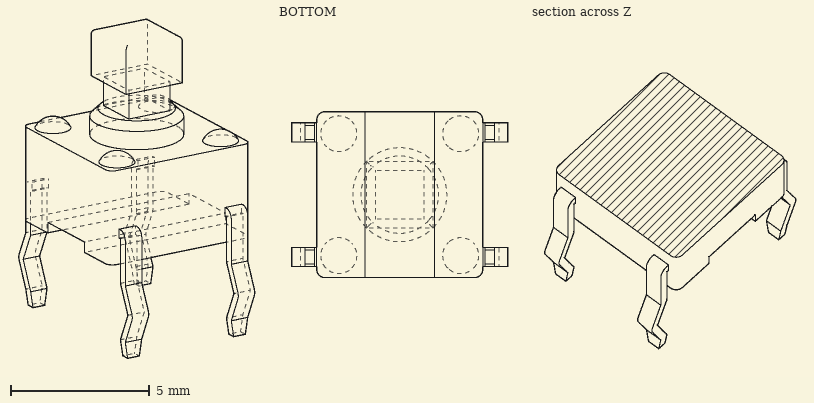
import cadquery as cq
import math


body_side = 6.0
body_height = 3.6
body_corner_radius = 0.3
notch_width = 2.5
notch_depth = 0.4

dome_offset = 2.2
dome_radius = 0.65
dome_height = 0.4

collar_radius = 1.7
collar_height = 1.0
collar_chamfer = 0.3

stem_side = 1.75
stem_height = 1.1
cap_side = 2.4
cap_height = 1.8
cap_edge_radius = 0.2

leg_span = 7.8
leg_width = 0.7
leg_tip_width = 0.5
leg_thickness = 0.34
kink_radius = 0.31
leg_pitch = 4.5
leg_outer_x = 3.42
leg_shoulder_z = 1.0
leg_upper_bend_z = -0.71
leg_kink_z = -1.78
leg_tip_start_z = -2.87
leg_bottom_z = -3.5

collar_top_z = body_height + collar_height
cap_bottom_z = collar_top_z + stem_height
leg_inner_x = leg_outer_x - leg_thickness
kink_outer_x = leg_span / 2
kink_inner_x = kink_outer_x - kink_radius


def square_block(side, bottom_z, height):
    """Square prism centred on the Z axis."""
    return cq.Workplane("XY").workplane(offset=bottom_z).rect(side, side).extrude(height)


def make_body():
    """Housing with rounded vertical edges and a shallow channel along Y underneath."""
    body = square_block(body_side, 0, body_height).edges("|Z").fillet(body_corner_radius)
    channel = cq.Workplane("XY").rect(notch_width, body_side).extrude(notch_depth)
    return body.cut(channel)


def make_dome(x, y):
    """Spherical cap standing on the top face of the housing."""
    sphere_radius = (dome_radius**2 + dome_height**2) / (2 * dome_height)
    sphere_z = body_height + dome_height - sphere_radius
    sphere = cq.Workplane("XY").sphere(sphere_radius).translate((x, y, sphere_z))
    above_top = square_block(body_side, body_height, collar_height)
    return sphere.intersect(above_top)


def make_collar():
    """Round collar with a chamfered top rim."""
    collar = cq.Workplane("XY").workplane(offset=body_height).circle(collar_radius).extrude(collar_height)
    return collar.faces(">Z").chamfer(collar_chamfer)


def make_plunger():
    """Square stem carrying a wider cap with rounded top edges."""
    stem = square_block(stem_side, collar_top_z, stem_height)
    cap = square_block(cap_side, cap_bottom_z, cap_height).faces(">Z").edges().fillet(cap_edge_radius)
    return stem.union(cap)


def kink_tangent_point(bend_z):
    """Where the outer face coming from the bend at bend_z touches the rounded kink."""
    dx = leg_outer_x - kink_inner_x
    dz = bend_z - leg_kink_z
    turn = math.acos(kink_radius / math.hypot(dx, dz))
    angle = math.atan2(dz, dx) - math.copysign(turn, dz)
    return (
        kink_inner_x + kink_radius * math.cos(angle),
        leg_kink_z + kink_radius * math.sin(angle),
    )


def make_leg():
    """Leg on the +X side, centred on Y = 0."""
    wall_x = body_side / 2
    shoulder_top_z = leg_shoulder_z + leg_thickness
    shoulder_mid = leg_thickness * math.sqrt(0.5)

    profile = (
        cq.Workplane("XZ")
        .moveTo(wall_x, leg_shoulder_z)
        .lineTo(wall_x, shoulder_top_z)
        .lineTo(leg_inner_x, shoulder_top_z)
        .threePointArc(
            (leg_inner_x + shoulder_mid, leg_shoulder_z + shoulder_mid),
            (leg_outer_x, leg_shoulder_z),
        )
        .lineTo(leg_outer_x, leg_upper_bend_z)
        .lineTo(*kink_tangent_point(leg_upper_bend_z))
        .threePointArc((kink_outer_x, leg_kink_z), kink_tangent_point(leg_tip_start_z))
        .lineTo(leg_outer_x, leg_tip_start_z)
        .lineTo(leg_outer_x, leg_bottom_z)
        .lineTo(leg_inner_x, leg_bottom_z)
        .lineTo(leg_inner_x, leg_tip_start_z)
        .lineTo(kink_inner_x, leg_kink_z)
        .lineTo(leg_inner_x, leg_upper_bend_z)
        .lineTo(leg_inner_x, leg_shoulder_z)
        .close()
    )
    strip = profile.extrude(leg_width / 2, both=True)

    outline = (
        cq.Workplane("YZ")
        .moveTo(-leg_width / 2, body_height)
        .lineTo(-leg_width / 2, leg_tip_start_z)
        .lineTo(-leg_tip_width / 2, leg_bottom_z)
        .lineTo(leg_tip_width / 2, leg_bottom_z)
        .lineTo(leg_width / 2, leg_tip_start_z)
        .lineTo(leg_width / 2, body_height)
        .close()
        .extrude(leg_span)
    )
    return strip.intersect(outline)


result = make_body().union(make_collar()).union(make_plunger())

right_leg = make_leg()
left_leg = right_leg.mirror("YZ")
for side_y in (-1, 1):
    for side_x in (-1, 1):
        result = result.union(make_dome(side_x * dome_offset, side_y * dome_offset))
    for leg in (left_leg, right_leg):
        result = result.union(leg.translate((0, side_y * leg_pitch / 2, 0)))